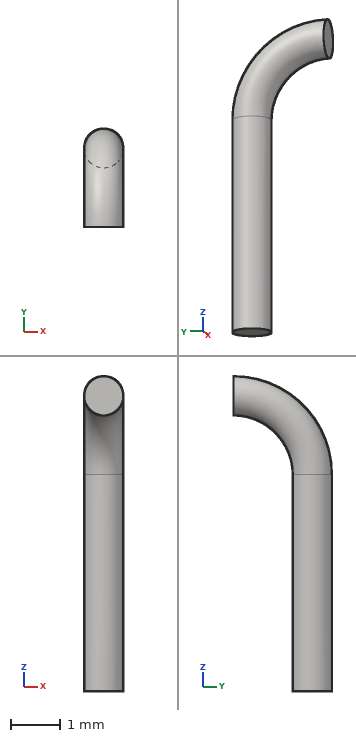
import cadquery as cq
import math

total_height = 6.4
rod_diameter = 0.8
bend_radius = 1.6

rod_radius = rod_diameter / 2
straight_length = total_height - bend_radius - rod_radius

bend_middle = (
    -bend_radius * (1 - math.cos(math.radians(45))),
    straight_length + bend_radius * math.sin(math.radians(45)),
)
bend_end = (-bend_radius, straight_length + bend_radius)
centreline = (
    cq.Workplane("YZ")
    .lineTo(0, straight_length)
    .threePointArc(bend_middle, bend_end)
)

result = cq.Workplane("XY").circle(rod_radius).sweep(centreline)